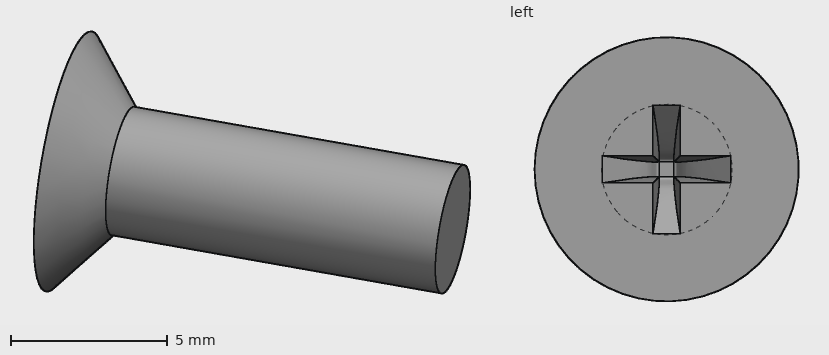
import cadquery as cq

total_length = 12.7
head_diameter = 8.43
shank_diameter = 4.17
head_height = 1.79

recess_span = 4.1
recess_width = 0.87
recess_depth = 2.15
floor_length = 0.43
floor_width = 0.47
mid_depth = 1.17
mid_length = 1.75
mid_width = 0.54
bend_depth = 1.93
bend_length = 0.8
mouth_slope = (1, -1)
floor_slope = (0, -1)


def screw_body():
    """Conical head and plain shank, revolved about the X axis."""
    profile = (
        cq.Workplane("XY")
        .lineTo(0, head_diameter / 2)
        .lineTo(head_height, shank_diameter / 2)
        .lineTo(total_length, shank_diameter / 2)
        .lineTo(total_length, 0)
        .close()
    )
    return profile.revolve(360, (0, 0, 0), (1, 0, 0))


def slot_end_profile():
    """Slot seen along Z: curved end walls that round into the floor."""
    half_slot = (
        cq.Workplane("XY", origin=(0, 0, -recess_width / 2))
        .moveTo(0, recess_span / 2)
        .spline(
            [
                (mid_depth, mid_length / 2),
                (bend_depth, bend_length / 2),
                (recess_depth, floor_length / 2),
            ],
            tangents=[mouth_slope, floor_slope],
            includeCurrent=True,
        )
        .lineTo(recess_depth, 0)
        .lineTo(0, 0)
        .close()
        .extrude(recess_width)
    )
    return half_slot.union(half_slot.mirror("XZ"))


def slot_side_walls():
    """Slot seen along Y: side walls drawing in towards the floor."""
    return (
        cq.Workplane("YZ")
        .rect(recess_span, recess_width)
        .workplane(offset=mid_depth)
        .rect(recess_span, mid_width)
        .workplane(offset=recess_depth - mid_depth)
        .rect(recess_span, floor_width)
        .loft()
    )


slot_along_y = slot_end_profile().intersect(slot_side_walls())
slot_along_z = slot_along_y.rotate((0, 0, 0), (1, 0, 0), 90)
result = screw_body().cut(slot_along_y.union(slot_along_z, clean=True))